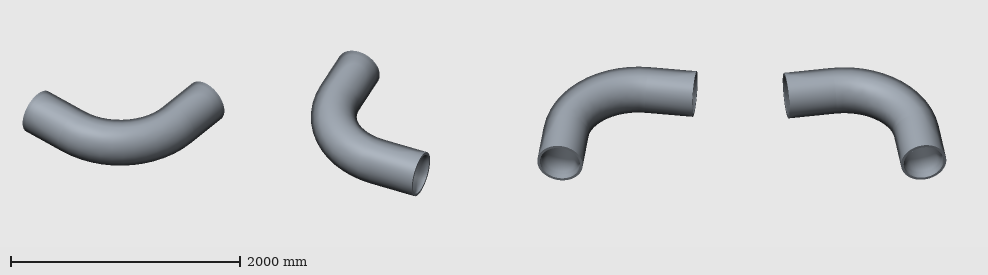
import cadquery as cq

overall_size = 1250.0
outer_diameter = 400.0
inner_diameter = 352.0
straight_length = 412.0

bend_radius = overall_size - straight_length - outer_diameter / 2
bend_angle = 90.0


def pipe_section(plane):
    """Ring-shaped pipe cross-section at the origin of the given plane."""
    return cq.Workplane(plane).circle(outer_diameter / 2).circle(inner_diameter / 2)


bend_start = cq.Plane(origin=(0, 0, 0), xDir=(0, 1, 0), normal=(1, 0, 0))
bend_end = cq.Plane(origin=(bend_radius, bend_radius, 0), xDir=(1, 0, 0), normal=(0, 1, 0))

bend = pipe_section(bend_start).revolve(bend_angle, (bend_radius, 0), (bend_radius, 1))

inlet = pipe_section(bend_start).extrude(-straight_length)
outlet = pipe_section(bend_end).extrude(straight_length)

result = bend.union(inlet).union(outlet)